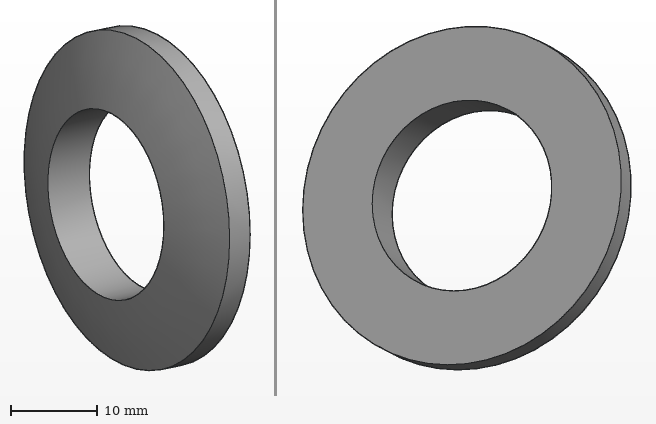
import cadquery as cq
import math

outer_radius = 20.0
hole_diameter = 22.5
thickness = 6.0
sphere_radius = 48.0

hole_radius = hole_diameter / 2


def sphere_height(radius):
    """Height of the dome's sphere above its centre, at a radius from the axis."""
    return math.sqrt(sphere_radius**2 - radius**2)


sphere_center_y = sphere_height(hole_radius) - thickness


def dome_point(radius):
    """Point on the domed face in the profile plane."""
    return (radius, sphere_center_y - sphere_height(radius))


middle_radius = (hole_radius + outer_radius) / 2

result = (
    cq.Workplane("XY")
    .moveTo(hole_radius, 0)
    .lineTo(outer_radius, 0)
    .lineTo(*dome_point(outer_radius))
    .threePointArc(dome_point(middle_radius), dome_point(hole_radius))
    .close()
    .revolve(360, (0, 0, 0), (0, 1, 0))
)